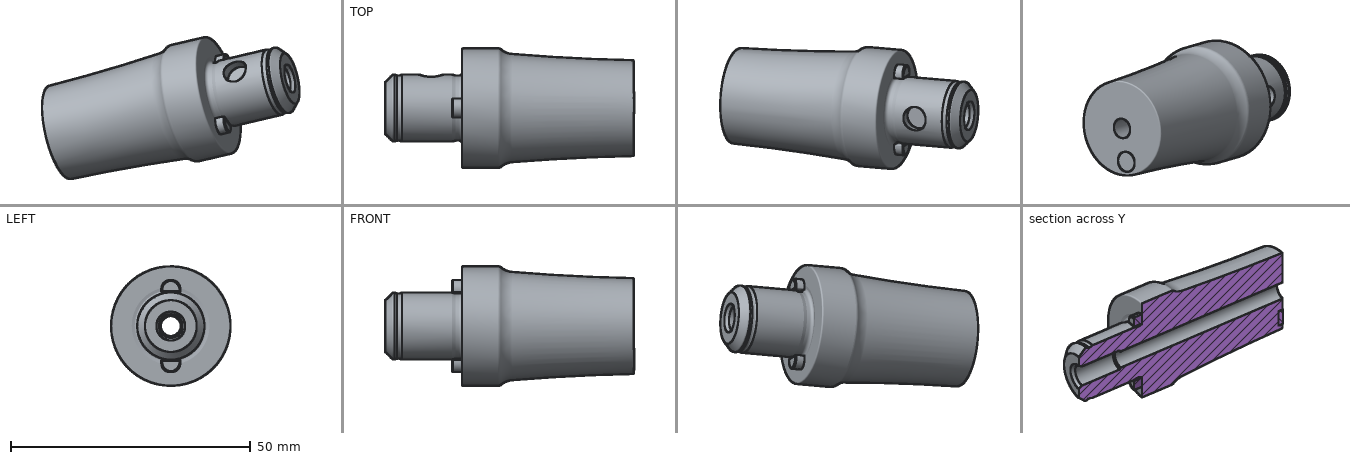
import cadquery as cq
import math


TOTAL_LENGTH = 52.0
CHIP_PROUD = 0.1
BODY_LENGTH = TOTAL_LENGTH - CHIP_PROUD

SHANK_RADIUS = 7.0
SHANK_LENGTH = 16.0
NOSE_CHAMFER = 1.6
NOSE_CHAMFER_ANGLE = 45.0
NOSE_EDGE_FILLET = 0.45
NOSE_FLAT = 0.3
RELIEF_RADIUS = 6.8

NOSE_GROOVE_START = NOSE_CHAMFER + NOSE_FLAT
NOSE_GROOVE_FLOOR_START = 2.5
NOSE_GROOVE_FLOOR_END = 2.65
NOSE_GROOVE_ARC_END = 3.15
NOSE_GROOVE_ARC_RADIUS = 6.85
NOSE_GROOVE_END = 3.5

UNDERCUT_START = 14.0
UNDERCUT_FLOOR_START = 14.75
UNDERCUT_FLOOR_END = 15.4
UNDERCUT_DEPTH = 0.1
UNDERCUT_INNER_RADIUS = 7.5
UNDERCUT_OUTER_RADIUS = 8.1

FLANGE_DIAMETER = 25.0
FLANGE_RADIUS = FLANGE_DIAMETER / 2
FLANGE_EDGE_FILLET = 0.3
FLANGE_REAR = 23.55
SHOULDER_X = 24.2
SHOULDER_RADIUS = 12.25

TAPER_START = 26.5
TAPER_START_RADIUS = 11.35
TAPER_END_RADIUS = 10.05
TAPER_SAG = 0.2
REAR_EDGE_FILLET = 0.25

MOUTH_RADIUS = 3.0
MOUTH_DEPTH = 0.85
BORE_DIAMETER = 4.95
BORE_RADIUS = BORE_DIAMETER / 2
BORE_DEPTH = 10.4
THROUGH_RADIUS = 2.1
DRILL_POINT_ANGLE = 118.0

LOCK_X = 9.55
LOCK_RADIUS = 2.5
LOCK_DEPTH = 2.5

KEY_WIDTH = 4.0
KEY_RADIUS = KEY_WIDTH / 2
KEY_CENTRE_Z = 7.65
KEY_BOTTOM_Z = 7.05
KEY_LENGTH = SHANK_LENGTH - UNDERCUT_START
KEY_CORNER_FILLET = 0.25
KEY_FRONT_CHAMFER = 0.2

CHIP_RADIUS = 2.15
CHIP_THICKNESS = 1.05
CHIP_Y = 1.15
CHIP_Z = -6.95


def outer_profile():
    """Half outline of the housing in XY, from the tip along the outside to the rear face."""
    arc_middle = math.sqrt(0.5)
    nose_setback = NOSE_EDGE_FILLET * math.tan(math.radians(NOSE_CHAMFER_ANGLE / 2))
    nose_setback_leg = nose_setback * math.cos(math.radians(NOSE_CHAMFER_ANGLE))
    undercut_floor_x = SHANK_LENGTH + UNDERCUT_DEPTH
    undercut_arc_width = undercut_floor_x - UNDERCUT_FLOOR_END
    undercut_arc_height = UNDERCUT_INNER_RADIUS - RELIEF_RADIUS
    taper_middle_x = (TAPER_START + BODY_LENGTH) / 2
    taper_middle_radius = (TAPER_START_RADIUS + TAPER_END_RADIUS) / 2 - TAPER_SAG
    return (
        cq.Workplane("XY")
        .lineTo(0, SHANK_RADIUS - NOSE_CHAMFER)
        .lineTo(NOSE_CHAMFER - nose_setback_leg, SHANK_RADIUS - nose_setback_leg)
        .tangentArcPoint((NOSE_CHAMFER + nose_setback, SHANK_RADIUS), relative=False)
        .lineTo(NOSE_GROOVE_START, SHANK_RADIUS)
        .lineTo(NOSE_GROOVE_FLOOR_START, RELIEF_RADIUS)
        .lineTo(NOSE_GROOVE_FLOOR_END, RELIEF_RADIUS)
        .tangentArcPoint((NOSE_GROOVE_ARC_END, NOSE_GROOVE_ARC_RADIUS), relative=False)
        .lineTo(NOSE_GROOVE_END, SHANK_RADIUS)
        .lineTo(UNDERCUT_START, SHANK_RADIUS)
        .lineTo(UNDERCUT_FLOOR_START, RELIEF_RADIUS)
        .lineTo(UNDERCUT_FLOOR_END, RELIEF_RADIUS)
        .threePointArc(
            (
                UNDERCUT_FLOOR_END + undercut_arc_width * arc_middle,
                UNDERCUT_INNER_RADIUS - undercut_arc_height * arc_middle,
            ),
            (undercut_floor_x, UNDERCUT_INNER_RADIUS),
        )
        .lineTo(SHANK_LENGTH, UNDERCUT_OUTER_RADIUS)
        .lineTo(SHANK_LENGTH, FLANGE_RADIUS - FLANGE_EDGE_FILLET)
        .tangentArcPoint((FLANGE_EDGE_FILLET, FLANGE_EDGE_FILLET))
        .lineTo(FLANGE_REAR, FLANGE_RADIUS)
        .tangentArcPoint((SHOULDER_X, SHOULDER_RADIUS), relative=False)
        .tangentArcPoint((TAPER_START, TAPER_START_RADIUS), relative=False)
        .threePointArc((taper_middle_x, taper_middle_radius), (BODY_LENGTH, TAPER_END_RADIUS))
        .lineTo(BODY_LENGTH, 0)
        .close()
    )


def bore():
    """Countersunk bore with a drill-point bottom, running on as a smaller through hole."""
    point_length = (BORE_RADIUS - THROUGH_RADIUS) / math.tan(math.radians(DRILL_POINT_ANGLE / 2))
    return (
        cq.Workplane("XY")
        .lineTo(0, MOUTH_RADIUS)
        .lineTo(MOUTH_DEPTH, BORE_RADIUS)
        .lineTo(BORE_DEPTH, BORE_RADIUS)
        .lineTo(BORE_DEPTH + point_length, THROUGH_RADIUS)
        .lineTo(BODY_LENGTH, THROUGH_RADIUS)
        .lineTo(BODY_LENGTH, 0)
        .close()
        .revolve(360, (0, 0, 0), (1, 0, 0))
    )


def locking_hole():
    """Blind round hole running inward from the +Y side of the shank."""
    return (
        cq.Workplane("XZ", origin=(LOCK_X, SHANK_RADIUS, 0))
        .circle(LOCK_RADIUS)
        .extrude(LOCK_DEPTH)
    )


def make_chip():
    """Round chip sunk into the rear face and standing slightly proud of it."""
    return (
        cq.Workplane("YZ", origin=(TOTAL_LENGTH - CHIP_THICKNESS, CHIP_Y, CHIP_Z))
        .circle(CHIP_RADIUS)
        .extrude(CHIP_THICKNESS)
    )


def make_key(turn):
    """Round-topped drive key on the flange face, turned about X by the given angle."""
    return (
        cq.Workplane("YZ", origin=(UNDERCUT_START, 0, 0))
        .moveTo(-KEY_RADIUS, KEY_BOTTOM_Z)
        .lineTo(KEY_RADIUS, KEY_BOTTOM_Z)
        .lineTo(KEY_RADIUS, KEY_CENTRE_Z)
        .threePointArc((0, KEY_CENTRE_Z + KEY_RADIUS), (-KEY_RADIUS, KEY_CENTRE_Z))
        .close()
        .extrude(KEY_LENGTH)
        .edges("|X and <Z")
        .fillet(KEY_CORNER_FILLET)
        .faces("<X")
        .chamfer(KEY_FRONT_CHAMFER)
        .rotate((0, 0, 0), (1, 0, 0), turn)
    )


def make_housing(keys, chip):
    """Turned housing with its bore, locking hole and the seats of the keys and the chip."""
    housing = (
        outer_profile()
        .revolve(360, (0, 0, 0), (1, 0, 0))
        .faces(">X")
        .edges()
        .fillet(REAR_EDGE_FILLET)
        .cut(bore())
        .cut(locking_hole())
    )
    for seated_body in [*keys, chip]:
        housing = housing.cut(seated_body)
    return housing


keys = [make_key(turn) for turn in (0, 180)]
chip = make_chip()
housing = make_housing(keys, chip)

result = cq.Compound.makeCompound([housing.val(), *[key.val() for key in keys], chip.val()])